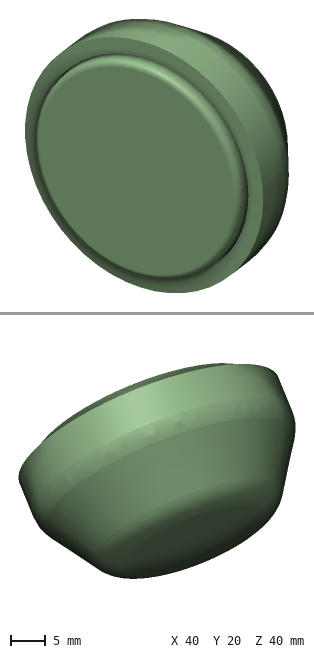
import cadquery as cq


housing_diameter = 40.0
housing_depth = 18.0
rim_length = 7.0
back_corner_diameter = 26.0
blend_radius = 5.0

recess_diameter = 35.0
recess_depth = 2.0
pad_diameter = 34.5
pad_protrusion = 2.0
pad_thickness = recess_depth + pad_protrusion
pad_edge_radius = 1.0


def make_housing():
    """Rounded conical cap with a flat-bottomed recess in its rim."""
    rim_radius = housing_diameter / 2
    back_radius = back_corner_diameter / 2
    cap = (
        cq.Workplane("XY")
        .moveTo(0, 0)
        .lineTo(rim_radius, 0)
        .lineTo(rim_radius, rim_length)
        .lineTo(back_radius, housing_depth)
        .lineTo(0, housing_depth)
        .close()
        .revolve(360, (0, 0, 0), (0, 1, 0))
    )
    cap = cap.faces("%CONE").edges("%CIRCLE").fillet(blend_radius)
    recess = cq.Workplane("XZ").circle(recess_diameter / 2).extrude(-recess_depth)
    return cap.cut(recess)


def make_pad():
    """Round pad seated on the recess floor, with a rounded front edge."""
    return (
        cq.Workplane("XZ", origin=(0, recess_depth, 0))
        .circle(pad_diameter / 2)
        .extrude(pad_thickness)
        .faces("<Y")
        .edges()
        .fillet(pad_edge_radius)
    )


housing = make_housing()
pad = make_pad()

result = cq.Compound.makeCompound([housing.solids().val(), pad.solids().val()])